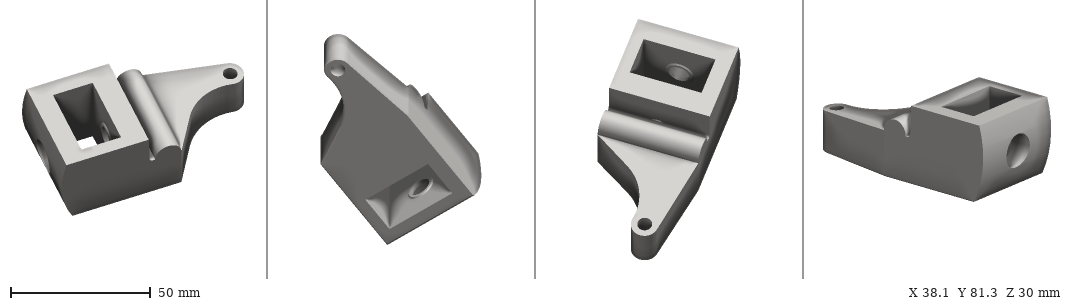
import cadquery as cq
import math

WIDTH = 38.1
LENGTH = 81.25
HEIGHT = 30.0
BOTTOM_CHAMFER = 0.5

FRONT_RADIUS = 40.0
FRONT_APEX_Z = 18.0
BLOCK_BACK_TOP_Y = 33.55
BLOCK_BACK_FLOOR_Y = 34.0
GROOVE_FLOOR_Z = 17.7
GROOVE_FILLET = 1.2

BEAD_RADIUS = 5.0
ARM_ROOT_Y = 46.15
BEAD_Y = ARM_ROOT_Y - BEAD_RADIUS
BEAD_Z = 17.9

ARM_TIP_Z = 15.85
TIP_RADIUS = 4.95
TIP_HOLE_DIAMETER = 5.3
TIP_X = 9.9
TIP_Y = LENGTH - TIP_RADIUS
WAIST_RADIUS = 20.0
WAIST_DROP = 4.2

BORE_X = 19.75
BORE_Z = 15.0
WINDOW_WIDTH = 27.2
WINDOW_FRONT_Y = 9.5
WINDOW_BACK_Y = 24.8
BORE_DIAMETER = 8.0
BORE_END_Y = 34.05
COUNTERBORE_DIAMETER = 13.0
COUNTERBORE_DEPTH = 8.5
COLLAR_BASE_DIAMETER = 10.9
COLLAR_HEIGHT = 0.5


def front_y(z):
    """Y of the bowed front face at height z."""
    return FRONT_RADIUS - math.sqrt(FRONT_RADIUS**2 - (z - FRONT_APEX_Z) ** 2)


def tangent_point(point, centre, radius, side):
    """Point where a line from an outside point touches a circle; side is +1 or -1."""
    dx = point[0] - centre[0]
    dy = point[1] - centre[1]
    angle = math.atan2(dy, dx) + side * math.acos(radius / math.hypot(dx, dy))
    return (centre[0] + radius * math.cos(angle), centre[1] + radius * math.sin(angle))


def side_profile():
    """Block and sloping arm, extruded across the full width."""
    blank = (
        cq.Workplane("YZ")
        .moveTo(front_y(0), 0)
        .threePointArc((0, FRONT_APEX_Z), (front_y(HEIGHT), HEIGHT))
        .lineTo(BLOCK_BACK_TOP_Y, HEIGHT)
        .lineTo(BLOCK_BACK_FLOOR_Y, GROOVE_FLOOR_Z)
        .lineTo(ARM_ROOT_Y, GROOVE_FLOOR_Z)
        .lineTo(LENGTH, ARM_TIP_Z)
        .lineTo(LENGTH, 0)
        .close()
        .extrude(WIDTH)
    )
    groove_corner = cq.NearestToPointSelector((WIDTH / 2, BLOCK_BACK_FLOOR_Y, GROOVE_FLOOR_Z))
    blank = blank.edges("|X").edges(groove_corner).fillet(GROOVE_FILLET)
    bead = cq.Workplane("YZ").center(BEAD_Y, BEAD_Z).circle(BEAD_RADIUS).extrude(WIDTH)
    return blank.union(bead)


def plan_prism():
    """Plan outline: rectangular block running into the waisted arm."""
    tip = (TIP_X, TIP_Y)
    reach = TIP_RADIUS + WAIST_RADIUS
    waist_angle = -math.asin(WAIST_DROP / reach)
    waist = (TIP_X + reach * math.cos(waist_angle), TIP_Y - WAIST_DROP)
    tip_end = (
        TIP_X + TIP_RADIUS * math.cos(waist_angle),
        TIP_Y + TIP_RADIUS * math.sin(waist_angle),
    )
    left_root = (0, ARM_ROOT_Y)
    right_root = (WIDTH, ARM_ROOT_Y)
    tip_start = tangent_point(left_root, tip, TIP_RADIUS, -1)
    waist_end = tangent_point(right_root, waist, WAIST_RADIUS, -1)
    return (
        cq.Workplane("XY")
        .lineTo(*left_root)
        .lineTo(*tip_start)
        .threePointArc((TIP_X, LENGTH), tip_end)
        .radiusArc(waist_end, -WAIST_RADIUS)
        .lineTo(*right_root)
        .lineTo(WIDTH, 0)
        .close()
        .extrude(HEIGHT)
    )


def rod(diameter, start_y, end_y):
    """Cylinder on the bore axis."""
    plane = cq.Plane(origin=(BORE_X, start_y, BORE_Z), xDir=(1, 0, 0), normal=(0, 1, 0))
    return cq.Workplane(plane).circle(diameter / 2).extrude(end_y - start_y)


def collar(wall_y, direction):
    """Tapered collar standing on a window wall, facing +Y or -Y."""
    plane = cq.Plane(origin=(BORE_X, wall_y, BORE_Z), xDir=(1, 0, 0), normal=(0, direction, 0))
    return cq.Workplane(plane).circle(COLLAR_BASE_DIAMETER / 2).extrude(COLLAR_HEIGHT, taper=45)


def window():
    depth = WINDOW_BACK_Y - WINDOW_FRONT_Y
    centre_y = (WINDOW_FRONT_Y + WINDOW_BACK_Y) / 2
    return (
        cq.Workplane("XY")
        .center(BORE_X, centre_y)
        .rect(WINDOW_WIDTH, depth)
        .extrude(HEIGHT)
    )


body = side_profile().intersect(plan_prism())
body = body.faces("<Z").chamfer(BOTTOM_CHAMFER)

tip_hole = cq.Workplane("XY").center(TIP_X, TIP_Y).circle(TIP_HOLE_DIAMETER / 2).extrude(HEIGHT)

result = (
    body.cut(tip_hole)
    .cut(window())
    .union(collar(WINDOW_FRONT_Y, 1))
    .union(collar(WINDOW_BACK_Y, -1))
    .cut(rod(BORE_DIAMETER, 0, BORE_END_Y))
    .cut(rod(COUNTERBORE_DIAMETER, 0, COUNTERBORE_DEPTH))
)